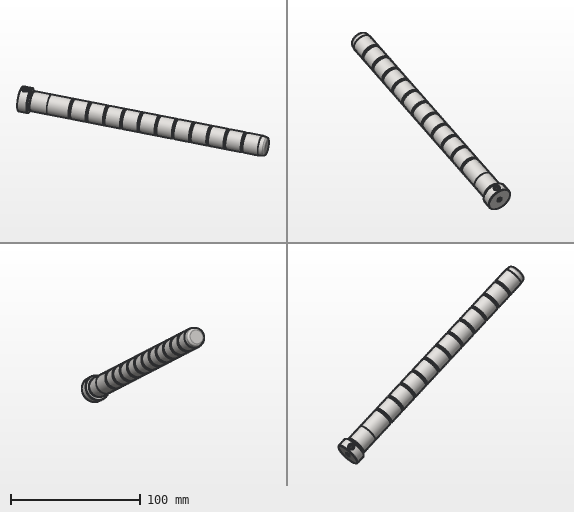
import cadquery as cq
import math

pin_length = 200.0
head_diameter = 20.0
head_length = 8.0
head_chamfer = 0.5
shaft_diameter = 16.0

relief_width = 2.0
relief_depth = 0.5

fit_end = 23.5
fit_step = 0.02

groove_count = 11
first_groove_center = 42.0
groove_pitch = 14.0
groove_width = 1.8
groove_floor_width = 0.2
groove_depth = 0.5

lead_length = 5.0
lead_step = 0.2
lead_arc_length = 3.5
lead_arc_radius = 16.0

port_x = 4.2
axial_diameter = 3.2
axial_countersink_diameter = 4.2
radial_diameter = 4.8
radial_countersink_diameter = 5.5
radial_depth = 1.5
cross_diameter = 2.5

head_radius = head_diameter / 2
shaft_radius = shaft_diameter / 2
fit_radius = shaft_radius + fit_step


def make_body():
    """Revolve the half profile of the head, fit length, shaft and nose about X."""
    relief_radius = shaft_radius - relief_depth
    relief_end = head_length + relief_width
    lead_start = pin_length - lead_length
    lead_radius = shaft_radius - lead_step
    lead_turn = math.asin(lead_arc_length / lead_arc_radius)
    nose_start = lead_start + lead_arc_length
    nose_start_radius = lead_radius - lead_arc_radius * (1 - math.cos(lead_turn))
    nose_radius = (pin_length - nose_start) / (1 - math.sin(lead_turn))
    nose_center_x = pin_length - nose_radius
    nose_center_radius = nose_start_radius - nose_radius * math.cos(lead_turn)
    nose_middle = (lead_turn + math.pi / 2) / 2
    profile = (
        cq.Workplane("XZ")
        .moveTo(0, 0)
        .lineTo(0, head_radius - head_chamfer)
        .lineTo(head_chamfer, head_radius)
        .lineTo(head_length - head_chamfer, head_radius)
        .lineTo(head_length, head_radius - head_chamfer)
        .lineTo(head_length, relief_radius)
        .lineTo(relief_end - relief_depth, relief_radius)
        .lineTo(relief_end, fit_radius)
        .lineTo(fit_end, fit_radius)
        .lineTo(fit_end, shaft_radius)
        .lineTo(lead_start, shaft_radius)
        .lineTo(lead_start, lead_radius)
        .threePointArc(
            (
                lead_start + lead_arc_radius * math.sin(lead_turn / 2),
                lead_radius - lead_arc_radius * (1 - math.cos(lead_turn / 2)),
            ),
            (nose_start, nose_start_radius),
        )
        .threePointArc(
            (
                nose_center_x + nose_radius * math.sin(nose_middle),
                nose_center_radius + nose_radius * math.cos(nose_middle),
            ),
            (pin_length, nose_center_radius),
        )
        .lineTo(pin_length, 0)
        .close()
    )
    return profile.revolve(360, (0, 0, 0), (1, 0, 0))


def make_groove(center_x):
    """Ring that cuts one lubrication groove centred at center_x."""
    floor_radius = shaft_radius - groove_depth
    profile = (
        cq.Workplane("XZ")
        .moveTo(center_x - groove_width / 2, head_radius)
        .lineTo(center_x - groove_width / 2, shaft_radius)
        .lineTo(center_x - groove_floor_width / 2, floor_radius)
        .lineTo(center_x + groove_floor_width / 2, floor_radius)
        .lineTo(center_x + groove_width / 2, shaft_radius)
        .lineTo(center_x + groove_width / 2, head_radius)
        .close()
    )
    return profile.revolve(360, (0, 0, 0), (1, 0, 0))


def make_port(mouth, direction, depth, diameter, countersink_diameter):
    """Countersunk drill of the given depth, entering at mouth along direction."""
    countersink_depth = (countersink_diameter - diameter) / 2
    drill = cq.Solid.makeCylinder(diameter / 2, depth, mouth, direction)
    countersink = cq.Solid.makeCone(
        countersink_diameter / 2, diameter / 2, countersink_depth, mouth, direction
    )
    return drill.fuse(countersink)


result = make_body()
for index in range(groove_count):
    result = result.cut(make_groove(first_groove_center + index * groove_pitch))

axial_port = make_port(
    cq.Vector(0, 0, 0), cq.Vector(1, 0, 0), port_x, axial_diameter, axial_countersink_diameter
)
top_mouth = cq.Vector(port_x, 0, head_radius)
down = cq.Vector(0, 0, -1)
radial_port = make_port(
    top_mouth, down, radial_depth, radial_diameter, radial_countersink_diameter
)
cross_depth = head_radius + axial_diameter / 2
cross_drill = cq.Solid.makeCylinder(cross_diameter / 2, cross_depth, top_mouth, down)
result = result.cut(axial_port).cut(radial_port).cut(cq.Workplane(cross_drill))